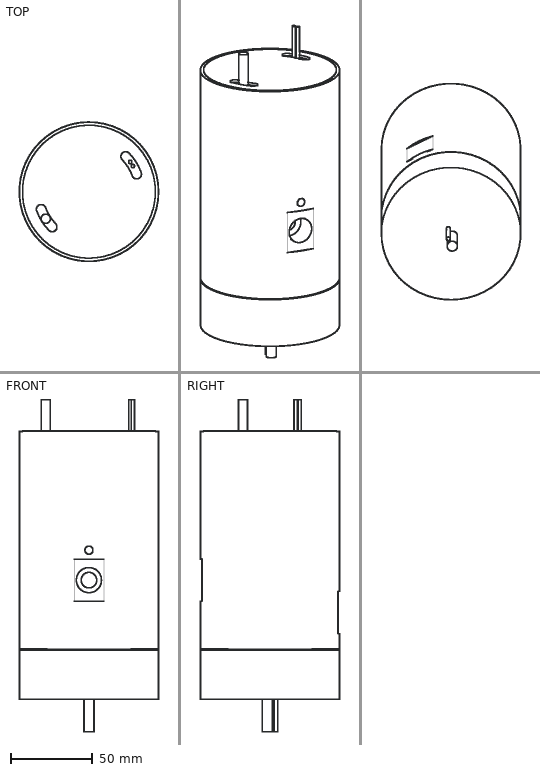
import cadquery as cq
import math

BODY_DIAMETER = 86.0
BODY_RADIUS = BODY_DIAMETER / 2
BODY_HEIGHT = 165.5

GROOVE_BOTTOM = 30.3
GROOVE_WIDTH = 0.6
CORE_RADIUS = 26.0

LID_RADIUS = 41.0
RIM_STEP = 0.2

SLOT_CENTRE_RADIUS = 31.4
SLOT_WIDTH = 5.9
SLOT_DEPTH = 1.5
SLOT_MID_ANGLE = 32.0
SLOT_HALF_SPAN = 11.8

TOP_CABLE_LENGTH = 19.3
TOP_CABLE_DIAMETER = 5.7
BOTTOM_CABLE_LENGTH = 20.0
BOTTOM_CABLE_DIAMETER = 6.4
BOTTOM_CABLE_Y = -1.7
TOP_WIRE_DIAMETER = 2.1
TOP_WIRE_SPACING = 3.0
TOP_WIRE_PAIR_ANGLE = 33.0
BOTTOM_WIRE_DIAMETER = 2.4
BOTTOM_WIRE_Y = 3.65

FLAT_WIDTH = 18.0
FLAT_HEIGHT = 26.0
FRONT_FLAT_CENTRE_Z = 73.5
BACK_FLAT_CENTRE_Z = 53.5
FLAT_DISTANCE = math.sqrt(BODY_RADIUS**2 - (FLAT_WIDTH / 2) ** 2)

DRILL_POINT_ANGLE = 118.0
PORT_RADIUS = 7.75
PORT_FLOOR_RADIUS = 4.8
PORT_DEPTH = 16.0
PILOT_RADIUS = 2.5
PILOT_DEPTH = 8.0
PILOT_CENTRE_Z = 92.0


def cylinder(radius, bottom, top, x=0.0, y=0.0):
    """Vertical cylinder between two heights."""
    return cq.Workplane("XY", origin=(x, y, bottom)).circle(radius).extrude(top - bottom)


def polar(radius, angle):
    """Point at a radius and an angle in degrees about the Z axis."""
    return radius * math.cos(math.radians(angle)), radius * math.sin(math.radians(angle))


def ring(inner_radius, bottom, top):
    """Ring from an inner radius out to the housing surface."""
    return cylinder(BODY_RADIUS, bottom, top).cut(cylinder(inner_radius, bottom, top))


def curved_slot(mid_angle):
    """Cutter for a round-ended slot that follows a circle about the Z axis."""
    start = mid_angle - SLOT_HALF_SPAN
    end = mid_angle + SLOT_HALF_SPAN
    outer = SLOT_CENTRE_RADIUS + SLOT_WIDTH / 2
    inner = SLOT_CENTRE_RADIUS - SLOT_WIDTH / 2
    tip_angle = 2 * math.degrees(math.asin(SLOT_WIDTH / 4 / SLOT_CENTRE_RADIUS))
    return (
        cq.Workplane("XY", origin=(0, 0, BODY_HEIGHT - SLOT_DEPTH))
        .moveTo(*polar(outer, start))
        .threePointArc(polar(outer, mid_angle), polar(outer, end))
        .threePointArc(polar(SLOT_CENTRE_RADIUS, end + tip_angle), polar(inner, end))
        .threePointArc(polar(inner, mid_angle), polar(inner, start))
        .threePointArc(polar(SLOT_CENTRE_RADIUS, start - tip_angle), polar(outer, start))
        .close()
        .extrude(SLOT_DEPTH)
    )


def side_flat(side, centre_z):
    """Cutter for a flat on the -Y (side = -1) or +Y (side = 1) surface."""
    depth = BODY_RADIUS - FLAT_DISTANCE
    centre_y = side * (FLAT_DISTANCE + depth / 2)
    return cq.Workplane("XY", origin=(0, centre_y, centre_z)).box(FLAT_WIDTH, depth, FLAT_HEIGHT)


def drilled_hole(radius, depth, floor_radius, centre_z):
    """Cutter for a hole along +Y whose cone end narrows to a flat floor, or to a point if it has none."""
    cone_length = (radius - floor_radius) / math.tan(math.radians(DRILL_POINT_ANGLE / 2))
    profile = [(0, 0), (radius, 0), (radius, depth), (floor_radius, depth + cone_length)]
    if floor_radius > 0:
        profile.append((0, depth + cone_length))
    return (
        cq.Workplane("XY", origin=(0, -BODY_RADIUS, centre_z))
        .polyline(profile)
        .close()
        .revolve(360, (0, 0, 0), (0, 1, 0))
    )


def top_cables():
    """One thick cable in the -X slot and a pair of thin wires in the +X slot."""
    bottom = BODY_HEIGHT - SLOT_DEPTH
    top = BODY_HEIGHT + TOP_CABLE_LENGTH
    thick_x, thick_y = polar(SLOT_CENTRE_RADIUS, SLOT_MID_ANGLE + 180)
    cables = cylinder(TOP_CABLE_DIAMETER / 2, bottom, top, thick_x, thick_y)
    half_step = math.degrees(math.asin(TOP_WIRE_SPACING / 2 / SLOT_CENTRE_RADIUS))
    for step in (-half_step, half_step):
        x, y = polar(SLOT_CENTRE_RADIUS, TOP_WIRE_PAIR_ANGLE + step)
        cables = cables.union(cylinder(TOP_WIRE_DIAMETER / 2, bottom, top, x, y))
    return cables


def bottom_cables():
    """A thick cable and a thin wire side by side under the base."""
    thick = cylinder(BOTTOM_CABLE_DIAMETER / 2, -BOTTOM_CABLE_LENGTH, 0, y=BOTTOM_CABLE_Y)
    thin = cylinder(BOTTOM_WIRE_DIAMETER / 2, -BOTTOM_CABLE_LENGTH, 0, y=BOTTOM_WIRE_Y)
    return thick.union(thin)


body = cylinder(BODY_RADIUS, 0, BODY_HEIGHT)
body = body.cut(ring(CORE_RADIUS, GROOVE_BOTTOM, GROOVE_BOTTOM + GROOVE_WIDTH))
body = body.cut(ring(LID_RADIUS, BODY_HEIGHT - RIM_STEP, BODY_HEIGHT))

for half_turn in (0, 180):
    body = body.cut(curved_slot(SLOT_MID_ANGLE + half_turn))

body = body.cut(side_flat(-1, FRONT_FLAT_CENTRE_Z))
body = body.cut(side_flat(1, BACK_FLAT_CENTRE_Z))
body = body.cut(drilled_hole(PORT_RADIUS, PORT_DEPTH, PORT_FLOOR_RADIUS, FRONT_FLAT_CENTRE_Z))
body = body.cut(drilled_hole(PILOT_RADIUS, PILOT_DEPTH, 0, PILOT_CENTRE_Z))

result = body.union(top_cables()).union(bottom_cables())